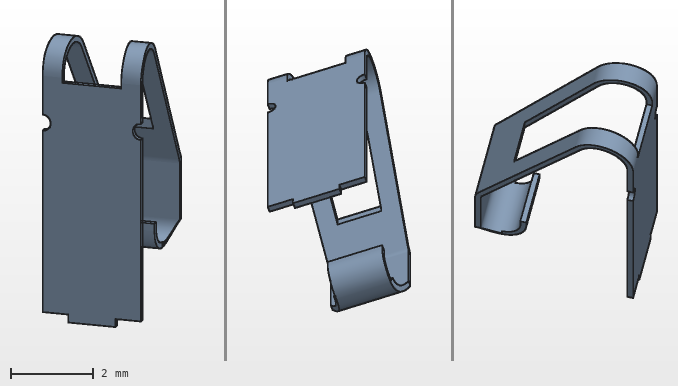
import cadquery as cq
import math

width = 2.5
depth = 4.0
height = 7.0
thickness = 0.15

top_bend_radius = 0.8
slope_angle = math.radians(36.0)
knee_radius = 0.35
hook_radius = 0.6
hook_center_z = 1.62
hook_end_z = 1.8

back_width = 2.0
window_front_width = 1.5
window_back_width = 1.13
window_back_y = 3.13
slot_bottom_z = 6.07

tab_width = 1.2
tab_height = 0.2
notch_radius = 0.2
notch_z = 5.01
lip_width = 1.4
flare_radius = 2.94

top_center = (top_bend_radius, height - top_bend_radius)
hook_center_y = depth - hook_radius
knee_center_y = depth - knee_radius
knee_center_z = top_center[1] - (
    (knee_center_y - top_center[0]) * math.cos(slope_angle) + knee_radius - top_bend_radius
) / math.sin(slope_angle)
knee_center = (knee_center_y, knee_center_z)


def arc_point(center, radius, angle):
    """Point in the YZ plane at an angle from +Y toward +Z."""
    return (center[0] + radius * math.cos(angle), center[1] + radius * math.sin(angle))


def make_strip():
    """Side profile of the bent strip, extruded across the full width."""
    top_inner = top_bend_radius - thickness
    knee_inner = knee_radius - thickness
    hook_inner = hook_radius - thickness
    top_mid_angle = (math.pi + slope_angle) / 2
    return (
        cq.Workplane("YZ")
        .moveTo(0, 0)
        .lineTo(0, top_center[1])
        .threePointArc(
            arc_point(top_center, top_bend_radius, top_mid_angle),
            arc_point(top_center, top_bend_radius, slope_angle),
        )
        .lineTo(*arc_point(knee_center, knee_radius, slope_angle))
        .threePointArc(arc_point(knee_center, knee_radius, slope_angle / 2), (depth, knee_center_z))
        .lineTo(depth, hook_center_z)
        .threePointArc(
            (hook_center_y, hook_center_z - hook_radius),
            (hook_center_y - hook_radius, hook_center_z),
        )
        .lineTo(hook_center_y - hook_radius, hook_end_z)
        .lineTo(hook_center_y - hook_inner, hook_end_z)
        .lineTo(hook_center_y - hook_inner, hook_center_z)
        .threePointArc(
            (hook_center_y, hook_center_z - hook_inner),
            (hook_center_y + hook_inner, hook_center_z),
        )
        .lineTo(depth - thickness, knee_center_z)
        .threePointArc(
            arc_point(knee_center, knee_inner, slope_angle / 2),
            arc_point(knee_center, knee_inner, slope_angle),
        )
        .lineTo(*arc_point(top_center, top_inner, slope_angle))
        .threePointArc(
            arc_point(top_center, top_inner, top_mid_angle),
            (thickness, top_center[1]),
        )
        .lineTo(thickness, 0)
        .close()
        .extrude(width / 2, both=True)
    )


def make_prism(half_outline, bottom_z):
    """Upright prism reaching the top, mirrored about X = 0 from (half width, y) points."""
    mirrored = [(-x, y) for x, y in reversed(half_outline)]
    return (
        cq.Workplane("XY", origin=(0, 0, bottom_z))
        .polyline(half_outline + mirrored)
        .close()
        .extrude(height - bottom_z)
    )


def make_plan():
    """Tapered outer outline, straight across the plate and across the back leg."""
    return make_prism(
        [
            (width / 2, 0),
            (width / 2, thickness),
            (back_width / 2, depth - thickness),
            (back_width / 2, depth),
        ],
        0,
    )


def make_window():
    """Tapered opening that separates the two arms, behind the plate."""
    return make_prism(
        [(window_front_width / 2, thickness), (window_back_width / 2, window_back_y)],
        hook_end_z,
    )


def make_plate_slot():
    """Straight slot in the plate between the roots of the arms."""
    return make_prism(
        [(window_front_width / 2, 0), (window_front_width / 2, thickness)],
        slot_bottom_z,
    )


def make_side_box(inner_x, y_range, top_z):
    """Box on the +X side, from inner_x out to the full half width and from the bottom up."""
    size_x = width / 2 - inner_x
    size_y = y_range[1] - y_range[0]
    box = cq.Workplane("XY").box(size_x, size_y, top_z, centered=False)
    return box.translate((inner_x, y_range[0], 0))


def make_hook_flare():
    """Concave side cut narrowing the hook from the back leg down to its lowest line."""
    bottom_z = hook_center_z - hook_radius
    narrowing = (back_width - lip_width) / 2
    chord = math.hypot(narrowing, hook_radius)
    sagitta = flare_radius - math.sqrt(flare_radius**2 - (chord / 2) ** 2)
    arc_middle = (
        (lip_width + narrowing) / 2 - sagitta * hook_radius / chord,
        bottom_z + hook_radius / 2 + sagitta * narrowing / chord,
    )
    return (
        cq.Workplane("XZ", origin=(0, depth, 0))
        .moveTo(lip_width / 2, 0)
        .lineTo(lip_width / 2, bottom_z)
        .threePointArc(arc_middle, (back_width / 2, hook_center_z))
        .lineTo(width / 2, hook_center_z)
        .lineTo(width / 2, 0)
        .close()
        .extrude(hook_radius)
    )


def make_notch():
    """Round notch through the side edge of the plate."""
    return cq.Workplane("XZ").center(width / 2, notch_z).circle(notch_radius).extrude(-thickness)


side_cuts = [
    make_hook_flare(),
    make_side_box(lip_width / 2, (hook_center_y - hook_radius, hook_center_y), hook_end_z),
    make_side_box(tab_width / 2, (0, thickness), tab_height),
    make_notch(),
]

result = make_strip().intersect(make_plan())
result = result.cut(make_window()).cut(make_plate_slot())
for side_cut in side_cuts:
    result = result.cut(side_cut).cut(side_cut.mirror("YZ"))